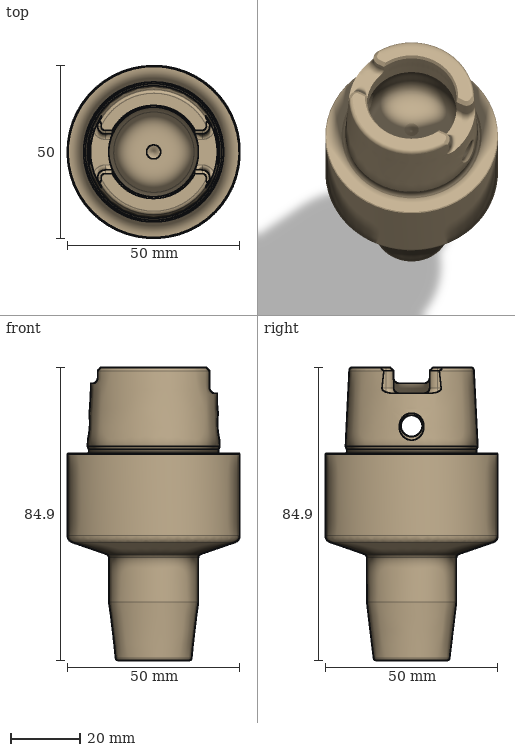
import cadquery as cq
import math

total_height = 84.9
flange_face_z = 59.9
nose_top_z = 30.6
nose_taper_z = 17.0

flange_diameter = 50.0
flange_radius = flange_diameter / 2
flange_chamfer = 0.25
flange_fillet = 2.1
shoulder_angle = 19.0
nose_radius = 13.0
nose_root_fillet = 1.0
tip_radius = 10.95
tip_fillet = 0.85

selection_margin = 0.04

shank_base_radius = 19.2
shank_base_z = 62.0
shank_taper_per_side = 1 / 20
rim_fillet = 1.0

neck_radius = 18.85
neck_top_z = 61.2
neck_fillet = 0.9
relief_outer_radius = 20.3
relief_depth = 0.4

bore_radius = 13.0
bore_depth = 9.8
bore_chamfer_width = 0.5
bore_chamfer_depth = 0.9
chamber_radius = 14.4
chamber_depth = 21.05
chamber_fillet = 2.8
centre_cone_radius = 2.0
centre_cone_angle = 118.0

slot_width = 10.45
slot_depth_left = 4.6
slot_depth_right = 7.5
slot_corner_radius = 2.2
slot_shoulder_x = 16.2
slot_floor_fillet = 1.5
slot_chamfer = 1.0
slot_overrun = 4.25

cross_hole_radius = 3.05
cross_hole_z = 67.9
countersink_radius = 3.9
countersink_overrun = 0.85


def shank_radius(z):
    """Outer radius of the shank taper at height z."""
    return shank_base_radius - (z - shank_base_z) * shank_taper_per_side


def ring_at(z):
    """Selector for the flat circular edge lying at height z."""
    reach = flange_diameter
    low = (-reach, -reach, z - selection_margin)
    high = (reach, reach, z + selection_margin)
    return cq.selectors.BoxSelector(low, high, boundingbox=True)


def make_body():
    """Solid of revolution: nose, flange, relief and tapered shank."""
    slope = math.radians(shoulder_angle)
    corner_z = nose_top_z + (flange_radius - nose_radius) * math.tan(slope)
    relief_floor_z = flange_face_z - relief_depth
    profile = (
        cq.Workplane("YZ")
        .lineTo(tip_radius, 0)
        .lineTo(nose_radius, nose_taper_z)
        .lineTo(nose_radius, nose_top_z)
        .lineTo(flange_radius, corner_z)
        .lineTo(flange_radius, flange_face_z - flange_chamfer)
        .lineTo(flange_radius - flange_chamfer, flange_face_z)
        .lineTo(relief_outer_radius, flange_face_z)
        .lineTo(neck_radius + neck_fillet, relief_floor_z)
        .radiusArc((neck_radius, relief_floor_z + neck_fillet), neck_fillet)
        .lineTo(neck_radius, neck_top_z)
        .lineTo(shank_base_radius, shank_base_z)
        .lineTo(shank_radius(total_height), total_height)
        .lineTo(0, total_height)
        .close()
    )
    body = profile.revolve(360, (0, 0, 0), (0, 1, 0))
    body = body.edges(ring_at(corner_z)).fillet(flange_fillet)
    body = body.edges(ring_at(nose_top_z)).fillet(nose_root_fillet)
    body = body.faces(">Z").edges().fillet(rim_fillet)
    return body.faces("<Z").edges().fillet(tip_fillet)


def slot_outline(z):
    """Slot outline on the +X side, widening around the rounded tab ends."""
    half = slot_width / 2
    outer_y = half + slot_corner_radius + slot_overrun
    arc_x = slot_shoulder_x - slot_corner_radius
    arc_y = half + slot_corner_radius
    return (
        cq.Workplane("XY", origin=(0, 0, z))
        .moveTo(0, -half)
        .lineTo(arc_x, -half)
        .tangentArcPoint((slot_shoulder_x, -arc_y), relative=False)
        .lineTo(slot_shoulder_x, -outer_y)
        .lineTo(flange_radius, -outer_y)
        .lineTo(flange_radius, outer_y)
        .lineTo(slot_shoulder_x, outer_y)
        .lineTo(slot_shoulder_x, arc_y)
        .tangentArcPoint((arc_x, half), relative=False)
        .lineTo(0, half)
        .close()
    )


def make_slot_cutter(depth):
    """Slot on the +X side with a filleted floor and a 45 degree flare at the rim."""
    slot = slot_outline(total_height - depth).extrude(depth)
    slot = slot.faces("<Z").edges().fillet(slot_floor_fillet)
    flare = slot_outline(total_height - slot_chamfer).extrude(slot_chamfer, taper=-45)
    return slot.union(flare)


def make_cavity():
    """Chamfered bore, wider chamber with a rounded floor corner, and a centre cone."""
    bore_z = total_height - bore_depth
    floor_z = total_height - chamber_depth
    cone_depth = centre_cone_radius / math.tan(math.radians(centre_cone_angle / 2))
    return (
        cq.Workplane("YZ")
        .moveTo(0, floor_z - cone_depth)
        .lineTo(centre_cone_radius, floor_z)
        .lineTo(chamber_radius - chamber_fillet, floor_z)
        .radiusArc((chamber_radius, floor_z + chamber_fillet), -chamber_fillet)
        .lineTo(chamber_radius, bore_z)
        .lineTo(bore_radius, bore_z)
        .lineTo(bore_radius, total_height - bore_chamfer_depth)
        .lineTo(bore_radius + bore_chamfer_width, total_height)
        .lineTo(0, total_height)
        .close()
        .revolve(360, (0, 0, 0), (0, 1, 0))
    )


def make_cross_hole():
    """Cross hole along X with a 45 degree countersink at both mouths."""
    mouth_x = shank_radius(cross_hole_z)
    throat_x = mouth_x - (countersink_radius - cross_hole_radius)
    end_x = mouth_x + countersink_overrun
    end_radius = countersink_radius + countersink_overrun
    return (
        cq.Workplane("XY", origin=(0, 0, cross_hole_z))
        .moveTo(-end_x, 0)
        .lineTo(-end_x, end_radius)
        .lineTo(-throat_x, cross_hole_radius)
        .lineTo(throat_x, cross_hole_radius)
        .lineTo(end_x, end_radius)
        .lineTo(end_x, 0)
        .close()
        .revolve(360, (0, 0, 0), (1, 0, 0))
    )


result = make_body()
result = result.cut(make_slot_cutter(slot_depth_right))
result = result.cut(make_slot_cutter(slot_depth_left).mirror("YZ"))
result = result.cut(make_cross_hole())
result = result.cut(make_cavity())